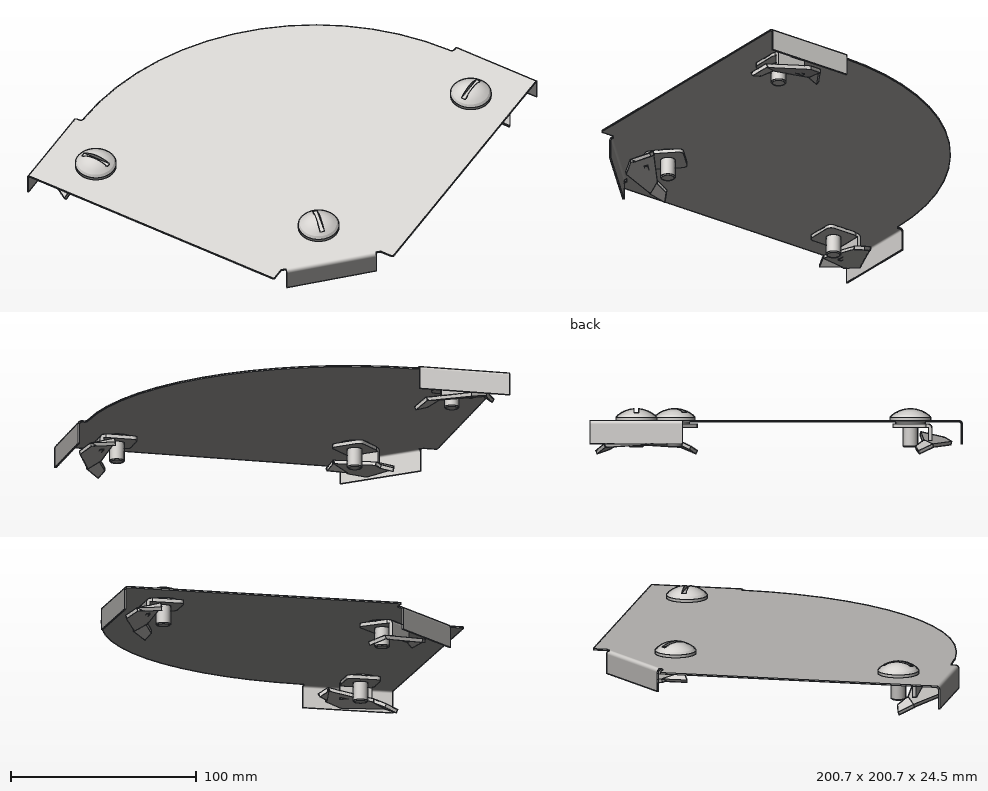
import cadquery as cq
import math

side = 200.7
half = side / 2
sheet = 0.8
bend_radius = 2.0
flange_length = 50.0
flange_depth = 12.6
arc_inset = 4.6
relief_fillet = 1.5
corner_step = 46.8
step_depth = 7.6
corner_fillet = 1.0

lock_setback = 28.1
shank_radius = 4.0
shank_bottom = -14.3
shank_chamfer = 0.6
head_radius = 11.0
head_rim_height = 1.6
dome_radius = 10.0
dome_base = 2.8
dome_top = 6.5
slot_width = 2.5
slot_floor = 4.2

spacer_radius = 8.0
spacer_thickness = 1.0

latch_sheet = 2.0
latch_half = 9.5
latch_fillet = 2.8
web_face = 11.6
web_half_width = 8.8
web_bend_radius = 2.5
latch_top = -sheet - spacer_thickness

outer_corner = (-22.3, -5.0, -11.2)
low_fold_outer = (-12.0, 17.5, -12.6)
low_fold_inner = (-7.2, 9.2)
low_tip = (-4.5, 21.9, -16.3)
low_shoulder = (-2.6, 15.0)
high_fold_inner = (-5.6, -16.7, -6.0)
high_fold_outer = (-18.5, -14.5)
high_tip = (-6.8, -21.9, -9.6)

flange_middle = half - flange_length / 2
bend_line_leg = corner_step + step_depth
diagonal_face = (side - bend_line_leg) / math.sqrt(2) + bend_radius
diagonal_lock = (diagonal_face - lock_setback) / math.sqrt(2)
lock_places = [
    (lock_setback - half, -flange_middle, 0),
    (flange_middle, half - lock_setback, -90),
    (diagonal_lock, -diagonal_lock, 135),
]


def place(solid, x, y, angle):
    """Turn a body about Z, then move its axis to (x, y)."""
    return solid.rotate((0, 0, 0), (0, 0, 1), angle).translate((x, y, 0))


def make_flange():
    """Bent flange along Y, its outer face at x = 0 and its middle at y = 0."""
    inner_radius = bend_radius - sheet
    return (
        cq.Workplane("XZ", origin=(0, flange_length / 2, 0))
        .moveTo(bend_radius, 0)
        .radiusArc((0, -bend_radius), -bend_radius)
        .lineTo(0, -flange_depth)
        .lineTo(sheet, -flange_depth)
        .lineTo(sheet, -bend_radius)
        .radiusArc((bend_radius, -sheet), inner_radius)
        .close()
        .extrude(flange_length)
    )


def make_cover():
    bend_line = half - bend_radius
    flange_end = half - flange_length
    rim = half - arc_inset
    rim_radius = rim + flange_end
    arc_middle = (
        flange_end - rim_radius * math.sqrt(0.5),
        rim_radius * math.sqrt(0.5) - flange_end,
    )
    step = half - corner_step
    middle = -sheet / 2
    blank = (
        cq.Workplane("XY", origin=(0, 0, -sheet))
        .moveTo(-bend_line, -half)
        .lineTo(step, -half)
        .lineTo(step, step_depth - half)
        .lineTo(half - step_depth, -step)
        .lineTo(half, -step)
        .lineTo(half, bend_line)
        .lineTo(flange_end, bend_line)
        .lineTo(flange_end, rim)
        .threePointArc(arc_middle, (-rim, -flange_end))
        .lineTo(-bend_line, -flange_end)
        .close()
        .extrude(sheet)
    )
    for x, y in [(step, -half), (half, -step)]:
        blank = blank.edges(cq.NearestToPointSelector((x, y, middle))).fillet(corner_fillet)
    for x, y in [(flange_end, rim), (-rim, -flange_end)]:
        blank = blank.edges(cq.NearestToPointSelector((x, y, middle))).fillet(relief_fillet)
    for x, y, angle in lock_places:
        blank = blank.union(place(make_flange().translate((-lock_setback, 0, 0)), x, y, angle))
    holes = cq.Workplane("XY", origin=(0, 0, -sheet)).pushPoints([spot[:2] for spot in lock_places])
    return blank.cut(holes.circle(shank_radius).extrude(sheet))


def make_screw():
    """Slotted dome-head screw on the Z axis, its slot along X."""
    dome_rise = dome_top - dome_base
    sphere_radius = (dome_radius**2 + dome_rise**2) / (2 * dome_rise)
    screw = (
        cq.Workplane("XZ")
        .moveTo(0, shank_bottom)
        .lineTo(shank_radius - shank_chamfer, shank_bottom)
        .lineTo(shank_radius, shank_bottom + shank_chamfer)
        .lineTo(shank_radius, 0)
        .lineTo(head_radius, 0)
        .lineTo(head_radius, head_rim_height)
        .lineTo(dome_radius, dome_base)
        .radiusArc((0, dome_top), -sphere_radius)
        .close()
        .revolve(360, (0, 0), (0, 1))
    )
    slot = cq.Workplane("XY", origin=(0, 0, slot_floor)).rect(2 * head_radius, slot_width)
    return screw.cut(slot.extrude(dome_top - slot_floor))


def make_spacer():
    """Disc around the screw shank, against the underside of the cover."""
    disc = cq.Workplane("XY", origin=(0, 0, latch_top)).circle(spacer_radius).circle(shank_radius)
    return disc.extrude(spacer_thickness)


def on_plane(corners, spot):
    """The point above (x, y) on the plane through three corners."""
    first, second, third = [cq.Vector(*corner) for corner in corners]
    normal = (second - first).cross(third - first)
    x, y = spot
    z = first.z - (normal.x * (x - first.x) + normal.y * (y - first.y)) / normal.z
    return (x, y, z)


def flat_plate(corners):
    """Flat plate of latch sheet under a polygon of upper corners, listed counter-clockwise."""
    first, second, third = [cq.Vector(*corner) for corner in corners[:3]]
    downward = (second - first).cross(third - first).normalized() * -latch_sheet
    outline = cq.Wire.makePolygon([cq.Vector(*corner) for corner in corners], close=True)
    return cq.Workplane(cq.Solid.extrudeLinear(outline, [], downward))


def make_foot():
    """Sloping middle plate with a wing folded down along each end."""
    middle_plane = [low_fold_outer, outer_corner, high_fold_inner]
    low_inner = on_plane(middle_plane, low_fold_inner)
    high_outer = on_plane(middle_plane, high_fold_outer)
    low_end = on_plane([low_fold_outer, low_inner, low_tip], low_shoulder)
    middle = flat_plate([low_fold_outer, outer_corner, high_outer, high_fold_inner, low_inner])
    low_wing = flat_plate([low_fold_outer, low_inner, low_end, low_tip])
    high_wing = flat_plate([high_outer, high_tip, high_fold_inner])
    return middle.union(low_wing).union(high_wing)


def make_latch():
    """Square plate around the shank, a web bent down on its -X side and the foot below."""
    plate = (
        cq.Workplane("XY", origin=(0, 0, latch_top - latch_sheet))
        .rect(2 * latch_half, 2 * latch_half)
        .extrude(latch_sheet)
        .edges("|Z")
        .fillet(latch_fillet)
    )
    foot_level = on_plane([low_fold_outer, outer_corner, high_fold_inner], (-web_face, 0))[2]
    web_end = foot_level - latch_sheet / 2
    web = (
        cq.Workplane("XZ", origin=(0, web_half_width, 0))
        .moveTo(-latch_half + latch_fillet, latch_top)
        .lineTo(-web_face + web_bend_radius, latch_top)
        .radiusArc((-web_face, latch_top - web_bend_radius), -web_bend_radius)
        .lineTo(-web_face, web_end)
        .lineTo(-web_face + latch_sheet, web_end)
        .lineTo(-web_face + latch_sheet, latch_top - latch_sheet)
        .lineTo(-latch_half + latch_fillet, latch_top - latch_sheet)
        .close()
        .extrude(2 * web_half_width)
    )
    hole = cq.Workplane("XY", origin=(0, 0, latch_top - latch_sheet)).circle(shank_radius)
    return plate.union(web).union(make_foot()).cut(hole.extrude(latch_sheet))


cover = make_cover()
screws = []
spacers = []
latches = []
for x, y, angle in lock_places:
    screws.append(place(make_screw(), x, y, angle).val())
    spacers.append(place(make_spacer(), x, y, angle).val())
    latches.append(place(make_latch(), x, y, angle).val())

result = cq.Compound.makeCompound([cover.val(), *screws, *spacers, *latches])